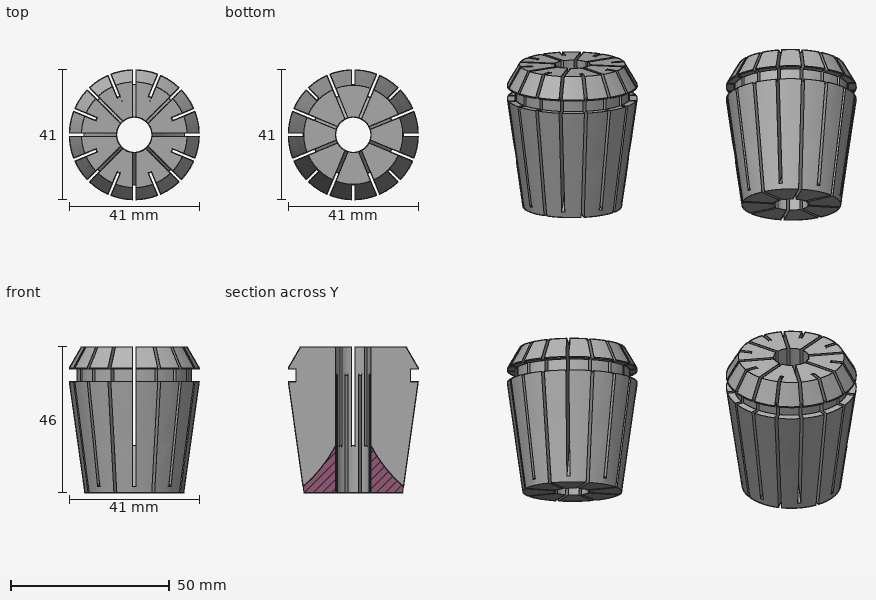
import cadquery as cq
import math

TOTAL_HEIGHT = 46.0
MAX_RADIUS = 20.5
BORE_RADIUS = 5.55

BODY_HEIGHT = 35.0
BODY_BASE_RADIUS = 15.6

GROOVE_WIDTH = 4.0
GROOVE_RADIUS = 18.1
GROOVE_TOP = BODY_HEIGHT + GROOVE_WIDTH

LAND_HEIGHT = 0.35
NOSE_ANGLE = 30.0
NOSE_BASE = GROOVE_TOP + LAND_HEIGHT
FACE_RADIUS = MAX_RADIUS - (TOTAL_HEIGHT - NOSE_BASE) * math.tan(math.radians(NOSE_ANGLE))

SLOTS_PER_SET = 8
SLOT_PITCH = 360.0 / SLOTS_PER_SET
SLOT_WIDTH = 1.0
FLOOR_ARC_RADIUS = 45.0

FACE_SLOT_BORE_HEIGHT = 14.9
FACE_SLOT_END_HEIGHT = 1.9

BASE_SLOT_BORE_DEPTH = 9.0
BASE_SLOT_END_RADIUS = 12.95

OVERRUN = 10.0


def collet_blank():
    """Revolved collet body with its bore, before slotting."""
    return (
        cq.Workplane("XZ")
        .moveTo(BORE_RADIUS, 0)
        .lineTo(BODY_BASE_RADIUS, 0)
        .lineTo(MAX_RADIUS, BODY_HEIGHT)
        .lineTo(GROOVE_RADIUS, BODY_HEIGHT)
        .lineTo(GROOVE_RADIUS, GROOVE_TOP)
        .lineTo(MAX_RADIUS, GROOVE_TOP)
        .lineTo(MAX_RADIUS, NOSE_BASE)
        .lineTo(FACE_RADIUS, TOTAL_HEIGHT)
        .lineTo(BORE_RADIUS, TOTAL_HEIGHT)
        .close()
        .revolve(360, (0, 0, 0), (0, 1, 0))
    )


def body_radius(height):
    """Outer radius of the locating taper at a given height."""
    return BODY_BASE_RADIUS + height * (MAX_RADIUS - BODY_BASE_RADIUS) / BODY_HEIGHT


def floor_arc_midpoint(start, end):
    """Middle of the concave floor arc, sagging towards the axis and the closed end."""
    run = end[0] - start[0]
    rise = end[1] - start[1]
    chord = math.hypot(run, rise)
    sagitta = FLOOR_ARC_RADIUS - math.sqrt(FLOOR_ARC_RADIUS**2 - (chord / 2) ** 2)
    return (
        (start[0] + end[0]) / 2 + sagitta * rise / chord,
        (start[1] + end[1]) / 2 - sagitta * run / chord,
    )


def slot_cutter(bore_height, floor_end):
    """Slot along +X, open upwards and to the bore, with an arc floor ending at floor_end."""
    bore_point = (BORE_RADIUS, bore_height)
    floor_middle = floor_arc_midpoint(bore_point, floor_end)
    outer_radius = MAX_RADIUS + OVERRUN
    top = TOTAL_HEIGHT + OVERRUN
    return (
        cq.Workplane("XZ")
        .moveTo(0, bore_height)
        .lineTo(*bore_point)
        .threePointArc(floor_middle, floor_end)
        .lineTo(outer_radius, floor_end[1])
        .lineTo(outer_radius, top)
        .lineTo(0, top)
        .close()
        .extrude(SLOT_WIDTH / 2, both=True)
    )


def face_slot_cutter():
    """Slot sawn from the front face, its floor leaving through the locating taper."""
    floor_end = (body_radius(FACE_SLOT_END_HEIGHT), FACE_SLOT_END_HEIGHT)
    return slot_cutter(FACE_SLOT_BORE_HEIGHT, floor_end)


def base_slot_cutter():
    """Slot sawn from the narrow end, its floor leaving through the front face."""
    upside_down = slot_cutter(BASE_SLOT_BORE_DEPTH, (BASE_SLOT_END_RADIUS, 0))
    return upside_down.mirror("XY").translate((0, 0, TOTAL_HEIGHT))


def cut_slot_set(body, cutter, first_angle):
    """Cut one evenly spaced set of slots around the axis."""
    for index in range(SLOTS_PER_SET):
        angle = first_angle + index * SLOT_PITCH
        body = body.cut(cutter.rotate((0, 0, 0), (0, 0, 1), angle))
    return body


collet = collet_blank()
collet = cut_slot_set(collet, face_slot_cutter(), 0)
result = cut_slot_set(collet, base_slot_cutter(), SLOT_PITCH / 2)